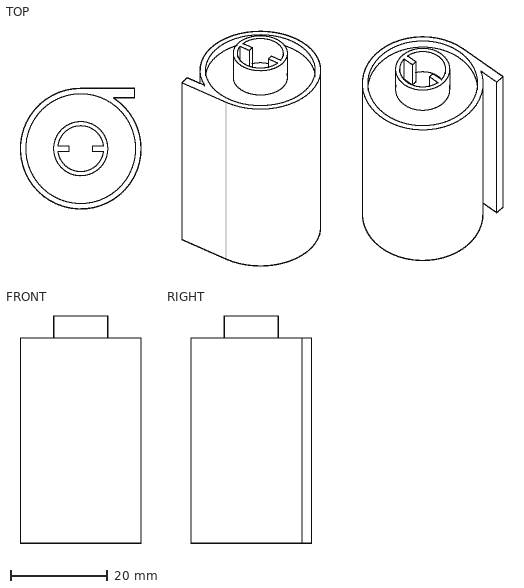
import cadquery as cq

total_height = 47.34
shell_diameter = 25.15
rim_thickness = 1.15
rim_depth = 2.0

hub_protrusion = 4.6
hub_outer_diameter = 11.28
hub_inner_diameter = 9.55

key_width = 1.1
key_gap = 4.8

lip_thickness = 2.0
lip_reach = 11.2

shell_height = total_height - hub_protrusion
floor_height = shell_height - rim_depth
hub_height = total_height - floor_height
shell_radius = shell_diameter / 2


def cylinder(diameter, height, base_height):
    return cq.Workplane("XY").workplane(offset=base_height).circle(diameter / 2).extrude(height)


def make_shell():
    """Shell with its tangent lip, recessed at the top inside a raised rim."""
    body = cylinder(shell_diameter, shell_height, 0)
    lip = cq.Workplane("XY").box(lip_reach, lip_thickness, shell_height, centered=False)
    lip = lip.translate((0, shell_radius - lip_thickness, 0))
    recess = cylinder(shell_diameter - 2 * rim_thickness, rim_depth, floor_height)
    return body.union(lip).cut(recess)


def make_hub():
    """Tube with two opposed keys pointing at the axis along X."""
    outer = cylinder(hub_outer_diameter, hub_height, floor_height)
    bore = cylinder(hub_inner_diameter, hub_height, floor_height)
    key_bar = cq.Workplane("XY").workplane(offset=floor_height)
    key_bar = key_bar.rect(hub_inner_diameter, key_width).extrude(hub_height)
    gap = cq.Workplane("XY").workplane(offset=floor_height)
    gap = gap.rect(key_gap, key_width).extrude(hub_height)
    keys = key_bar.cut(gap)
    return outer.cut(bore.cut(keys))


result = make_shell().union(make_hub())